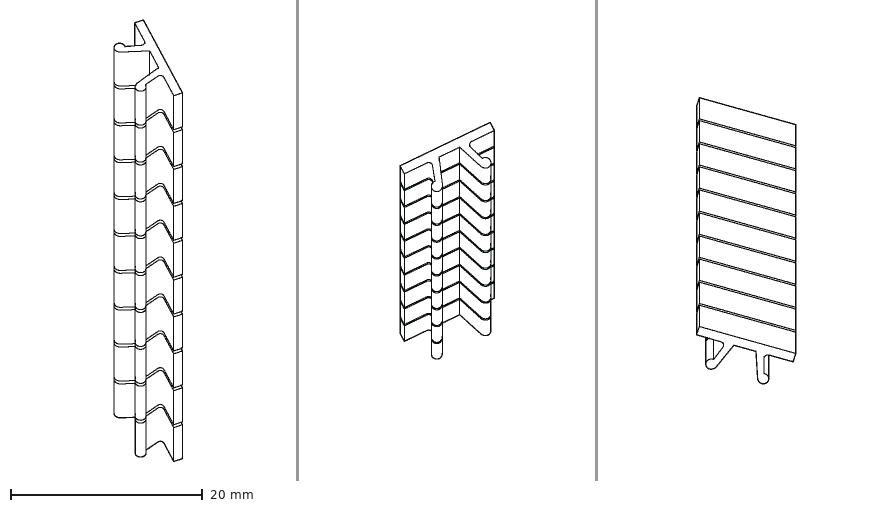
import cadquery as cq
import math


SEGMENT_COUNT = 10
STACK_HEIGHT = 61.5
SEGMENT_HEIGHT = 5.7
SEGMENT_PITCH = (STACK_HEIGHT - SEGMENT_HEIGHT) / (SEGMENT_COUNT - 1)

SEGMENT_DEPTH = 4.3
PLATE_WIDTH = 10.5
PLATE_HALF_THICKNESS = 0.5
PLATE_BACK_Y = SEGMENT_DEPTH / 2
PLATE_MIDDLE_Y = PLATE_BACK_Y - PLATE_HALF_THICKNESS
PLATE_FRONT_Y = PLATE_MIDDLE_Y - PLATE_HALF_THICKNESS

ARM_GAP = 2.4
ARM_ROOT_WIDTH = 0.85
INNER_ROOT_X = ARM_GAP / 2
OUTER_ROOT_X = INNER_ROOT_X + ARM_ROOT_WIDTH
INNER_TILT = math.radians(20)
OUTER_TILT = math.radians(18)
INNER_FACE_LENGTH = 3.0
ROOT_OVERLAP = PLATE_HALF_THICKNESS / 2
ROOT_FILLET = 0.4

BEAD_RADIUS = 0.585
BEAD_X = 2.8
BEAD_Y = BEAD_RADIUS - SEGMENT_DEPTH / 2


def point_on_face(root_x, tilt, length):
    """Point on an arm face, a given length down from where the face leaves the plate."""
    return (root_x + length * math.sin(tilt), PLATE_FRONT_Y - length * math.cos(tilt))


def bead_junction():
    """Point where the outer face of the arm runs into the bead circle."""
    across = BEAD_X - OUTER_ROOT_X
    down = PLATE_FRONT_Y - BEAD_Y
    length_beside_bead = across * math.sin(OUTER_TILT) + down * math.cos(OUTER_TILT)
    distance_to_center = across * math.cos(OUTER_TILT) - down * math.sin(OUTER_TILT)
    half_chord = math.sqrt(BEAD_RADIUS**2 - distance_to_center**2)
    return point_on_face(OUTER_ROOT_X, OUTER_TILT, length_beside_bead - half_chord)


def plate():
    return (
        cq.Workplane("XY")
        .center(0, PLATE_MIDDLE_Y)
        .rect(PLATE_WIDTH, 2 * PLATE_HALF_THICKNESS)
        .extrude(SEGMENT_HEIGHT)
    )


def arm():
    """Arm with its bead on the +X side, its root sunk into the plate."""
    bead_tip = (BEAD_X, BEAD_Y - BEAD_RADIUS)
    bead_side = (BEAD_X + BEAD_RADIUS, BEAD_Y)
    return (
        cq.Workplane("XY")
        .moveTo(*point_on_face(INNER_ROOT_X, INNER_TILT, -ROOT_OVERLAP))
        .lineTo(*point_on_face(INNER_ROOT_X, INNER_TILT, INNER_FACE_LENGTH))
        .tangentArcPoint(bead_tip, relative=False)
        .threePointArc(bead_side, bead_junction())
        .lineTo(*point_on_face(OUTER_ROOT_X, OUTER_TILT, -ROOT_OVERLAP))
        .close()
        .extrude(SEGMENT_HEIGHT)
    )


def clip_segment():
    """One segment standing on Z = 0, with fillets in the outer arm roots."""
    right_arm = arm()
    body = plate().union(right_arm).union(right_arm.mirror("YZ"))
    for x in (-OUTER_ROOT_X, OUTER_ROOT_X):
        root = cq.selectors.NearestToPointSelector((x, PLATE_FRONT_Y, SEGMENT_HEIGHT / 2))
        body = body.edges("|Z").edges(root).fillet(ROOT_FILLET)
    return body


segment = clip_segment()
segments = []
for index in range(SEGMENT_COUNT):
    bottom_z = index * SEGMENT_PITCH - STACK_HEIGHT / 2
    segments.append(segment.translate((0, 0, bottom_z)).val())

result = cq.Compound.makeCompound(segments)